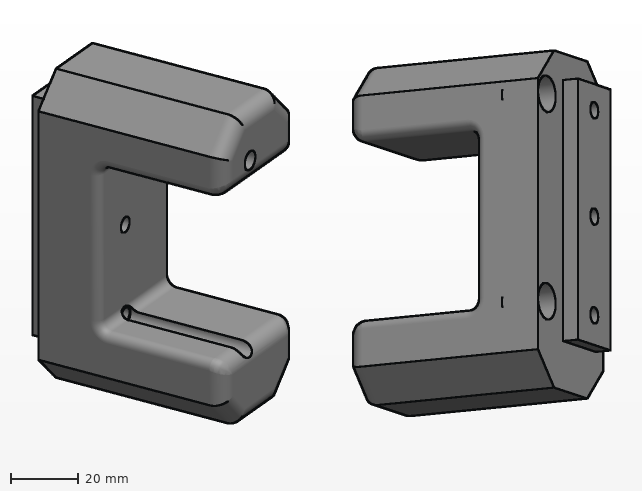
import cadquery as cq

height = 102.3
depth = 40.8
length = 70.0
corner_chamfer = 10.0
end_radius = 5.0

plate_thickness = 5.0
plate_width = 20.5
plate_height = 79.2
plate_y = -5.5
plate_z = 3.5
body_length = length - plate_thickness

web_thickness = 21.3
opening_height = 54.3
opening_z = 0.4
edge_radius = 3.0
opening_x = plate_thickness + web_thickness

screw_diameter = 4.9
clearance_diameter = 6.0
middle_screw_z = 2.9
end_screw_zs = (35.1, -27.1)

socket_diameter = 10.9
socket_depth = 12.3
socket_y = 14.8
socket_zs = (37.2, -25.7)


def rod(diameter, start_x, rod_length, y, z):
    """Cylinder running along +X from start_x."""
    start = cq.Vector(start_x, y, z)
    return cq.Workplane(cq.Solid.makeCylinder(diameter / 2, rod_length, start, cq.Vector(1, 0, 0)))


def make_body():
    """Chamfered block with the grip opening and all its rounded edges."""
    body = (
        cq.Workplane("XY")
        .box(body_length, depth, height)
        .edges("|X")
        .chamfer(corner_chamfer)
        .translate((plate_thickness + body_length / 2, 0, 0))
    )
    opening = (
        cq.Workplane("XY")
        .box(body_length, 2 * depth, opening_height)
        .edges("|Y and <X")
        .fillet(edge_radius)
        .translate((opening_x + body_length / 2, 0, opening_z))
    )
    body = body.cut(opening)

    rim_zone = cq.selectors.BoxSelector(
        (opening_x - edge_radius, -depth, opening_z - opening_height / 2 - edge_radius),
        (length + edge_radius, depth, opening_z + opening_height / 2 + edge_radius),
    )
    rim = body.faces("<Y or >Y").edges(rim_zone).edges("not(>X)")
    body = body.newObject(rim.vals()).fillet(edge_radius)
    for arm_side in (">Z", "<Z"):
        body = body.faces(">X").faces(arm_side).edges().fillet(end_radius)
    return body


def make_plate():
    """Flat mounting plate standing out from the back face."""
    return (
        cq.Workplane("XY")
        .box(plate_thickness, plate_width, plate_height)
        .translate((plate_thickness / 2, plate_y, plate_z))
    )


result = make_body().union(make_plate())

for screw_z in (middle_screw_z, *end_screw_zs):
    result = result.cut(rod(screw_diameter, 0, length, plate_y, screw_z))

for screw_z in end_screw_zs:
    result = result.cut(rod(clearance_diameter, opening_x, length - opening_x, plate_y, screw_z))

for socket_z in socket_zs:
    result = result.cut(rod(socket_diameter, plate_thickness, socket_depth, socket_y, socket_z))